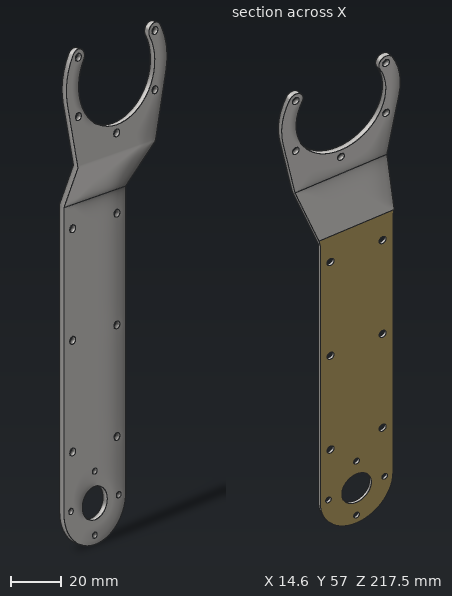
import cadquery as cq
import math


thickness = 2.5
total_depth = 14.6
bend_angle = math.radians(30)
handle_bend_z = 129.0
fork_offset = total_depth - thickness

handle_width = 35.0
handle_radius = handle_width / 2
pivot_hole_diameter = 14.0
pivot_screw_diameter = 2.53
pivot_screw_circle_radius = 13.5
mount_hole_diameter = 3.2
mount_hole_half_spacing = 12.5
mount_row_first_z = 24.8
mount_row_pitch = 47.0
mount_row_count = 3

fork_center_z = 184.0
fork_hole_circle_radius = 25.0
fork_arm_width = 7.0
fork_outer_radius = fork_hole_circle_radius + fork_arm_width / 2
fork_inner_radius = fork_hole_circle_radius - fork_arm_width / 2
fork_tip_angle = 30.0
fork_hole_diameter = 3.2
fork_hole_angles = (fork_tip_angle, 180 - fork_tip_angle, 180 + fork_tip_angle, 270, -fork_tip_angle)

trim_margin = 2.0

cut_start_x = -thickness
cut_length = total_depth + 2 * thickness


def polar(radius, degrees, center_z=0.0):
    """Point (y, z) on a circle centred on the part's middle line."""
    angle = math.radians(degrees)
    return (radius * math.cos(angle), center_z + radius * math.sin(angle))


def mirrored(point):
    return (-point[0], point[1])


def cutting_plane():
    """Y-Z plane just outside the -X face of the handle."""
    return cq.Workplane("YZ", origin=(cut_start_x, 0, 0))


def crank_sheet():
    """Oversized sheet with two opposite bends, each rounded on its outside only."""
    sheet_bottom_z = -handle_radius - trim_margin
    sheet_top_z = fork_center_z + fork_outer_radius + trim_margin
    bend_x = thickness * math.cos(bend_angle)
    bend_z = thickness * math.sin(bend_angle)
    half_bend_x = thickness * math.cos(bend_angle / 2)
    half_bend_z = thickness * math.sin(bend_angle / 2)

    slope_rise = (fork_offset - thickness + bend_x) / math.tan(bend_angle)
    fork_bend_z = handle_bend_z + bend_z + slope_rise

    return (
        cq.Workplane("XZ")
        .moveTo(0, sheet_bottom_z)
        .lineTo(thickness, sheet_bottom_z)
        .lineTo(thickness, handle_bend_z)
        .lineTo(fork_offset + bend_x, fork_bend_z - bend_z)
        .threePointArc(
            (fork_offset + half_bend_x, fork_bend_z - half_bend_z),
            (fork_offset + thickness, fork_bend_z),
        )
        .lineTo(total_depth, sheet_top_z)
        .lineTo(fork_offset, sheet_top_z)
        .lineTo(fork_offset, fork_bend_z)
        .lineTo(thickness - bend_x, handle_bend_z + bend_z)
        .threePointArc(
            (thickness - half_bend_x, handle_bend_z + half_bend_z),
            (0, handle_bend_z),
        )
        .close()
        .extrude(fork_outer_radius + trim_margin, both=True)
    )


def arm_outline():
    """Outline in Y-Z: round-ended handle, tapered neck and open fork ring."""
    neck_rise = fork_center_z - handle_bend_z
    neck_distance = math.hypot(handle_radius, neck_rise)
    tangent_angle = math.degrees(
        math.acos(fork_outer_radius / neck_distance) - math.atan2(neck_rise, handle_radius)
    )

    neck_start = (handle_radius, handle_bend_z)
    neck_end = polar(fork_outer_radius, tangent_angle, fork_center_z)
    outer_mid = polar(fork_outer_radius, (tangent_angle + fork_tip_angle) / 2, fork_center_z)
    outer_end = polar(fork_outer_radius, fork_tip_angle, fork_center_z)
    inner_end = polar(fork_inner_radius, fork_tip_angle, fork_center_z)

    tip_y, tip_z = polar(fork_hole_circle_radius, fork_tip_angle, fork_center_z)
    tip_top = (tip_y, tip_z + fork_arm_width / 2)

    return (
        cutting_plane()
        .moveTo(-handle_radius, 0)
        .threePointArc((0, -handle_radius), (handle_radius, 0))
        .lineTo(*neck_start)
        .lineTo(*neck_end)
        .threePointArc(outer_mid, outer_end)
        .threePointArc(tip_top, inner_end)
        .threePointArc((0, fork_center_z - fork_inner_radius), mirrored(inner_end))
        .threePointArc(mirrored(tip_top), mirrored(outer_end))
        .threePointArc(mirrored(outer_mid), mirrored(neck_end))
        .lineTo(*mirrored(neck_start))
        .close()
        .extrude(cut_length)
    )


def hole_cutters(points, diameter):
    """Cylinders along X that pass through the whole crank."""
    return cutting_plane().pushPoints(points).circle(diameter / 2).extrude(cut_length)


pivot_screw_points = [polar(pivot_screw_circle_radius, angle) for angle in (0, 90, 180, 270)]
mount_points = [
    (side * mount_hole_half_spacing, mount_row_first_z + row * mount_row_pitch)
    for row in range(mount_row_count)
    for side in (-1, 1)
]
fork_points = [polar(fork_hole_circle_radius, angle, fork_center_z) for angle in fork_hole_angles]

result = crank_sheet().intersect(arm_outline())
result = result.cut(hole_cutters([(0, 0)], pivot_hole_diameter))
result = result.cut(hole_cutters(pivot_screw_points, pivot_screw_diameter))
result = result.cut(hole_cutters(mount_points, mount_hole_diameter))
result = result.cut(hole_cutters(fork_points, fork_hole_diameter))